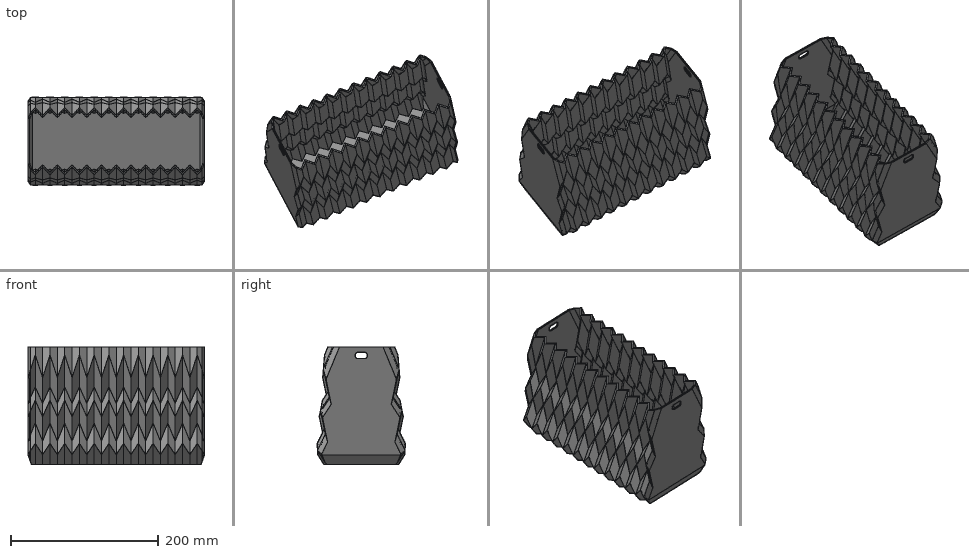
import cadquery as cq

height = 160.0
half_length = 119.9
half_width = 60.0
wall = 2.1
floor = 2.0
pleat_shift = wall * 2 ** 0.5

pleat_count = 12
pleat_pitch = 20.0
pleat_depth = 10.3

tier_slopes = [0.415, -0.208, 0.66, -0.208, 0.495, -0.635]
ridge_folds = [149.0, 105.3, 87.3, 56.3, 28.7]
valley_folds = [118.2, 83.3, 65.2, 32.0, 13.6]
end_folds = [116.0, 82.0, 64.0, 30.7, 14.0]

ridge_levels = [height] + ridge_folds
ridge_rim_y = half_width - sum(
    slope * (upper - lower) for slope, upper, lower in zip(tier_slopes, ridge_levels, ridge_levels[1:])
)

corner_reach = 6.2
end_rim_y = 29.5

foot_height = 13.2
foot_inset = 4.6

slot_width = 16.2
slot_height = 8.2
slot_radius = 3.6
slot_z = 148.3

bevel = 0.3
bevel_angle = 45.0


def zigzag_line(x, rim_y, folds, base_z):
    """Points of one edge running from the rim to the base, bending at each fold."""
    levels = [height] + folds + [base_z]
    points = [cq.Vector(x, rim_y, height)]
    y = rim_y
    for slope, upper, lower in zip(tier_slopes, levels, levels[1:]):
        y += slope * (upper - lower)
        points.append(cq.Vector(x, y, lower))
    return points


def side_lines(inset_x, inset_y, base_z):
    """Edge lines of the +Y side from the -X end to the +X end."""
    first_ridge = pleat_pitch * (pleat_count - 1) / 2
    corner_run = corner_reach - inset_x / 2
    fraction = corner_run / (pleat_pitch / 2)
    corner_folds = [r + (v - r) * fraction for r, v in zip(ridge_folds, valley_folds)]
    ridge_y = ridge_rim_y - inset_y
    end_x = half_length - inset_x
    corner_x = first_ridge + corner_run
    corner_y = ridge_y - pleat_depth * fraction

    lines = [
        zigzag_line(-end_x, end_rim_y, end_folds, base_z),
        zigzag_line(-corner_x, corner_y, corner_folds, base_z),
    ]
    for i in range(pleat_count):
        ridge_x = i * pleat_pitch - first_ridge
        lines.append(zigzag_line(ridge_x, ridge_y, ridge_folds, base_z))
        if i < pleat_count - 1:
            valley_x = ridge_x + pleat_pitch / 2
            lines.append(zigzag_line(valley_x, ridge_y - pleat_depth, valley_folds, base_z))
    lines.append(zigzag_line(corner_x, corner_y, corner_folds, base_z))
    lines.append(zigzag_line(end_x, end_rim_y, end_folds, base_z))
    return lines


def mirrored(points):
    return [cq.Vector(p.x, -p.y, p.z) for p in points]


def flat_face(points):
    return cq.Face.makeFromWires(cq.Wire.makePolygon(points, close=True))


def pleated_block(inset_x, inset_y, base_z):
    """Solid bounded by the folded long sides, flat ends, the rim plane and the base plane."""
    lines = side_lines(inset_x, inset_y, base_z)
    faces = []
    for left, right in zip(lines, lines[1:]):
        for k in range(len(tier_slopes)):
            facet = [left[k], left[k + 1], right[k + 1], right[k]]
            faces.append(flat_face(facet))
            faces.append(flat_face(mirrored(facet)))
    for end_line in (lines[0], lines[-1]):
        faces.append(flat_face(end_line + mirrored(end_line)[::-1]))
    for level in (0, -1):
        outline = [line[level] for line in lines]
        faces.append(flat_face(outline + mirrored(outline)[::-1]))
    return cq.Workplane(cq.Solid.makeSolid(cq.Shell.makeShell(faces)))


def end_envelope(inset):
    """Wide prism whose XZ outline gives the end walls their sloping foot."""
    end_x = half_length - inset
    return (
        cq.Workplane("XZ")
        .polyline([
            (end_x, height),
            (end_x, foot_height),
            (end_x - foot_inset, 0),
            (foot_inset - end_x, 0),
            (-end_x, foot_height),
            (-end_x, height),
        ])
        .close()
        .extrude(height, both=True)
    )


def hand_slots():
    return (
        cq.Workplane("XY")
        .box(2 * half_length + wall, slot_width, slot_height)
        .edges("|X")
        .fillet(slot_radius)
        .translate((0, 0, slot_z))
    )


def slot_bevel(x, direction):
    """Tapered cutter that is widest on the wall face at x and narrows along direction."""
    return (
        cq.Workplane("YZ", origin=(x, 0, slot_z))
        .sketch()
        .rect(slot_width + 2 * bevel, slot_height + 2 * bevel)
        .vertices()
        .fillet(slot_radius + bevel)
        .finalize()
        .extrude(direction * bevel, taper=bevel_angle)
    )


def rim_bevel(x):
    """Square bar set on edge along the straight rim edge at x."""
    side = bevel * 2 ** 0.5
    return (
        cq.Workplane("XY")
        .box(side, 2 * end_rim_y, side)
        .rotate((0, 0, 0), (0, 1, 0), bevel_angle)
        .translate((x, 0, height))
    )


outer = pleated_block(0, 0, 0).intersect(end_envelope(0))
cavity = pleated_block(wall, pleat_shift, floor).intersect(end_envelope(wall))
result = outer.cut(cavity).cut(hand_slots())
for side in (-1, 1):
    outer_face = side * half_length
    inner_face = side * (half_length - wall)
    result = result.cut(slot_bevel(outer_face, -side)).cut(slot_bevel(inner_face, side))
    result = result.cut(rim_bevel(outer_face)).cut(rim_bevel(inner_face))